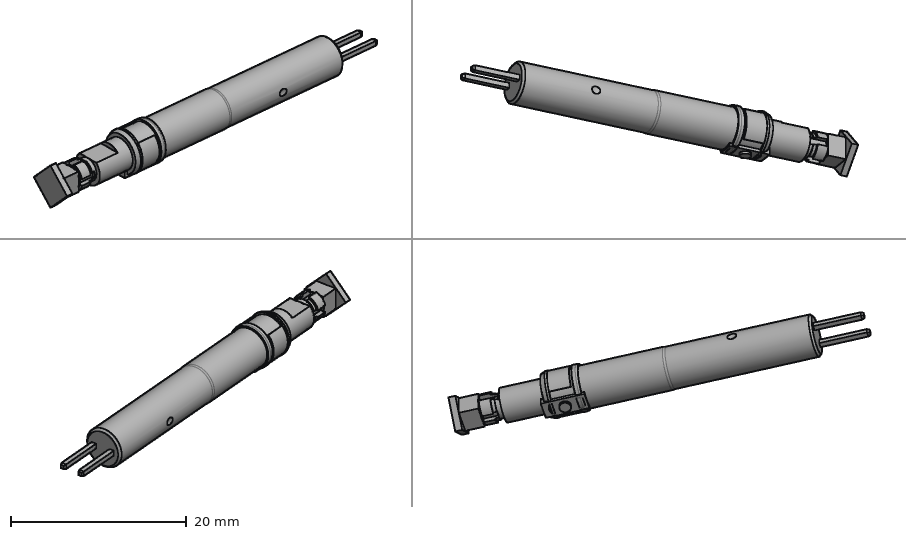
import cadquery as cq
import math

TOTAL_LENGTH = 48.7

PLATE_DIAGONAL = 5.65
PLATE_END = 0.85
STEM_SIDE = 2.75
STEM_END = 3.1
TAB_START = 3.25
TAB_END = 4.65
TAB_RADIUS = 1.8
SLOT_WIDTH = 0.9
SLOT_FLOOR_RADIUS = 1.15
SIDE_SLOT_END = 5.45
RIM_END = 5.05
RIM_RADIUS = 1.55
SHAFT_RADIUS = 1.45
SHAFT_END = 5.75
SLEEVE_RADIUS = 2.05
FLAT_HEIGHT = 1.45
FLAT_END = 9.0

COLLAR_START = 10.75
COLLAR_END = 15.25
COLLAR_RADIUS = 2.8
COLLAR_FRONT_BEVEL = (0.25, 0.6)
COLLAR_REAR_BEVEL = (0.05, 0.3)
WINDOW_START = 11.65
WINDOW_END = 14.5
PAD_RADIUS = 2.75
PAD_END = 14.2
FRONT_BARREL_RADIUS = 2.55
REAR_BARREL_RADIUS = 2.5
STEP_START = 25.2
STEP_END = 25.45
BARREL_END = 42.75
BARREL_BEVEL = 0.3
DIMPLE_Y = 33.4
DIMPLE_RADIUS = 0.55
DIMPLE_DEPTH = 0.15
KEY_WIDTH = 2.15
KEY_LENGTH = 5.15
KEY_TOP = -1.8
KEY_BOTTOM = -2.7
BOSS_RADIUS = 0.7
BOSS_BOTTOM = -2.95

PIN_SIDE = 0.65
PIN_SPACING = 2.55
PIN_TIP_LENGTH = 0.3
PIN_TIP_INSET = 0.1

COLLAR_MIDDLE = (COLLAR_START + COLLAR_END) / 2


def cylinder_along_y(radius, start, end):
    """Solid cylinder on the Y axis between two Y positions."""
    return cq.Workplane("XZ", origin=(0, start, 0)).circle(radius).extrude(start - end)


def block_along_y(width, height, start, end):
    """Rectangular bar centred on the Y axis between two Y positions."""
    return cq.Workplane("XZ", origin=(0, start, 0)).rect(width, height).extrude(start - end)


def revolve_about_y(profile):
    """Turn a closed outline of (radius, y) points about the Y axis."""
    return cq.Workplane("XY").polyline(profile).close().revolve(360, (0, 0), (0, 1))


def contact_plate():
    side = PLATE_DIAGONAL / math.sqrt(2)
    return block_along_y(side, side, 0, PLATE_END).rotate((0, 0, 0), (0, 1, 0), 45)


def slotted_shaft():
    """Shaft with a ring of four tabs and a low rim, split by slots at -X, +X, -Z and +Z."""
    shaft = cylinder_along_y(SHAFT_RADIUS, STEM_END, SHAFT_END)
    shaft = shaft.union(cylinder_along_y(TAB_RADIUS, TAB_START, TAB_END))
    shaft = shaft.union(cylinder_along_y(RIM_RADIUS, TAB_END, RIM_END))
    across = 2 * TAB_RADIUS
    slots = block_along_y(across, SLOT_WIDTH, TAB_START, SIDE_SLOT_END)
    slots = slots.union(block_along_y(SLOT_WIDTH, across, TAB_START, RIM_END))
    core = cylinder_along_y(SLOT_FLOOR_RADIUS, TAB_START, SIDE_SLOT_END)
    return shaft.cut(slots.cut(core))


def flatted_sleeve():
    sleeve = cylinder_along_y(SLEEVE_RADIUS, SHAFT_END, COLLAR_START)
    above_flat = block_along_y(2 * SLEEVE_RADIUS, 2 * SLEEVE_RADIUS, SHAFT_END, FLAT_END)
    return sleeve.cut(above_flat.translate((0, 0, FLAT_HEIGHT + SLEEVE_RADIUS)))


def make_plunger():
    plunger = contact_plate()
    plunger = plunger.union(block_along_y(STEM_SIDE, STEM_SIDE, PLATE_END, STEM_END))
    plunger = plunger.union(slotted_shaft())
    return plunger.union(flatted_sleeve())


def turned_housing():
    front_radial, front_axial = COLLAR_FRONT_BEVEL
    rear_radial, rear_axial = COLLAR_REAR_BEVEL
    return revolve_about_y([
        (0, COLLAR_START),
        (COLLAR_RADIUS - front_radial, COLLAR_START),
        (COLLAR_RADIUS, COLLAR_START + front_axial),
        (COLLAR_RADIUS, WINDOW_START),
        (FRONT_BARREL_RADIUS, WINDOW_START),
        (FRONT_BARREL_RADIUS, WINDOW_END),
        (COLLAR_RADIUS, WINDOW_END),
        (COLLAR_RADIUS, COLLAR_END - rear_axial),
        (COLLAR_RADIUS - rear_radial, COLLAR_END),
        (FRONT_BARREL_RADIUS, COLLAR_END),
        (FRONT_BARREL_RADIUS, STEP_START),
        (REAR_BARREL_RADIUS, STEP_END),
        (REAR_BARREL_RADIUS, BARREL_END - BARREL_BEVEL),
        (REAR_BARREL_RADIUS - BARREL_BEVEL, BARREL_END),
        (0, BARREL_END),
    ])


def side_pads():
    """Quarter-round pads on the -X and +X sides, bounded by the 45 degree planes."""
    reach = 2 * PAD_RADIUS
    quarters = (
        cq.Workplane("XZ", origin=(0, WINDOW_START, 0))
        .polyline([(0, 0), (reach, reach), (reach, -reach)]).close()
        .polyline([(0, 0), (-reach, reach), (-reach, -reach)]).close()
        .extrude(WINDOW_START - PAD_END)
    )
    return cylinder_along_y(PAD_RADIUS, WINDOW_START, PAD_END).intersect(quarters)


def key_with_boss():
    key_height = KEY_TOP - KEY_BOTTOM
    key = cq.Workplane("XY").box(KEY_WIDTH, KEY_LENGTH, key_height)
    key = key.translate((0, COLLAR_MIDDLE, KEY_TOP - key_height / 2))
    boss = (
        cq.Workplane("XY", origin=(0, COLLAR_MIDDLE, BOSS_BOTTOM))
        .circle(BOSS_RADIUS)
        .extrude(KEY_TOP - BOSS_BOTTOM)
    )
    sleeve_space = cylinder_along_y(SLEEVE_RADIUS, SHAFT_END, COLLAR_START)
    return key.union(boss).cut(sleeve_space)


def dimple(side):
    """Ball that cuts a shallow dimple in the +X (side = 1) or -X (side = -1) flank."""
    ball_radius = (DIMPLE_RADIUS**2 + DIMPLE_DEPTH**2) / (2 * DIMPLE_DEPTH)
    ball_x = REAR_BARREL_RADIUS - DIMPLE_DEPTH + ball_radius
    return cq.Workplane("XY").sphere(ball_radius).translate((side * ball_x, DIMPLE_Y, 0))


def make_housing():
    housing = turned_housing().union(side_pads()).union(key_with_boss())
    for side in (-1, 1):
        housing = housing.cut(dimple(side))
    return housing


def make_pin(x):
    shank_end = TOTAL_LENGTH - PIN_TIP_LENGTH
    tip_side = PIN_SIDE - 2 * PIN_TIP_INSET
    shank = block_along_y(PIN_SIDE, PIN_SIDE, BARREL_END, shank_end)
    tip = (
        cq.Workplane("XZ", origin=(0, shank_end, 0))
        .rect(PIN_SIDE, PIN_SIDE)
        .workplane(offset=-PIN_TIP_LENGTH)
        .rect(tip_side, tip_side)
        .loft(ruled=True)
    )
    return shank.union(tip).translate((x, 0, 0))


plunger = make_plunger()
housing = make_housing()
pins = [make_pin(side * PIN_SPACING / 2) for side in (-1, 1)]

result = cq.Compound.makeCompound([plunger.val(), housing.val(), *[pin.val() for pin in pins]])